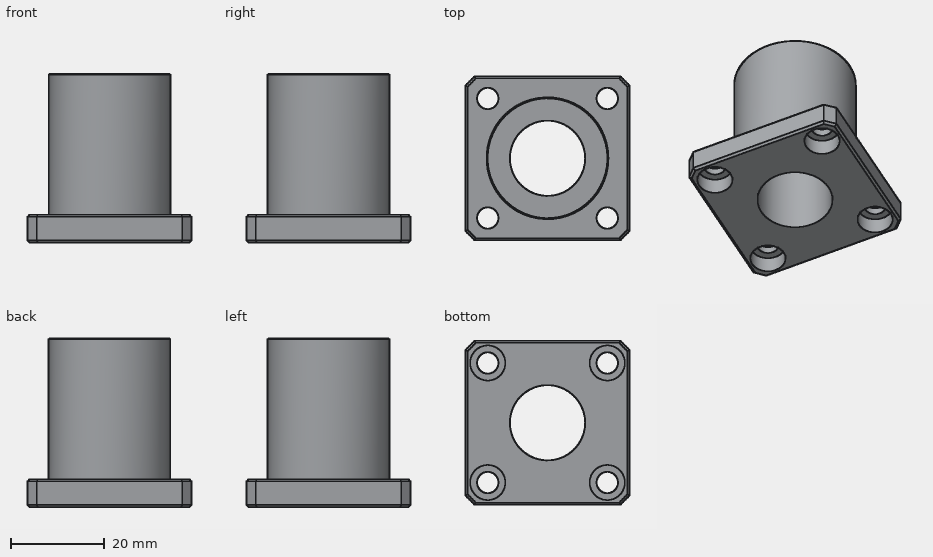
import cadquery as cq

total_height = 36.0
flange_width = 35.0
flange_thickness = 6.0
corner_chamfer = 2.0
flange_edge_chamfer = 0.5

sleeve_diameter = 26.0
bore_diameter = 16.0
sleeve_edge_chamfer = 0.25

hole_spacing = 25.45
hole_diameter = 4.5
counterbore_diameter = 7.5
counterbore_depth = 4.1


def make_flange():
    """Square plate with cut corners and chamfered top and bottom rims."""
    plate = cq.Workplane("XY").box(
        flange_width, flange_width, flange_thickness, centered=(True, True, False)
    )
    plate = plate.edges("|Z").chamfer(corner_chamfer)
    return plate.faces("<Z or >Z").edges().chamfer(flange_edge_chamfer)


def make_sleeve():
    """Round sleeve standing on the base plane, chamfered at its top rim."""
    sleeve = cq.Workplane("XY").circle(sleeve_diameter / 2).extrude(total_height)
    return sleeve.faces(">Z").edges().chamfer(sleeve_edge_chamfer)


def make_bore():
    """Cutter for the bore along the full height."""
    return cq.Workplane("XY").circle(bore_diameter / 2).extrude(total_height)


def make_mounting_holes():
    """Cutter for four through holes with counterbores in the underside."""
    centers = cq.Workplane("XY").rect(hole_spacing, hole_spacing, forConstruction=True).vertices()
    holes = centers.circle(hole_diameter / 2).extrude(flange_thickness)
    counterbores = centers.circle(counterbore_diameter / 2).extrude(counterbore_depth)
    return holes.union(counterbores)


body = make_flange().union(make_sleeve())
result = body.cut(make_bore()).cut(make_mounting_holes())